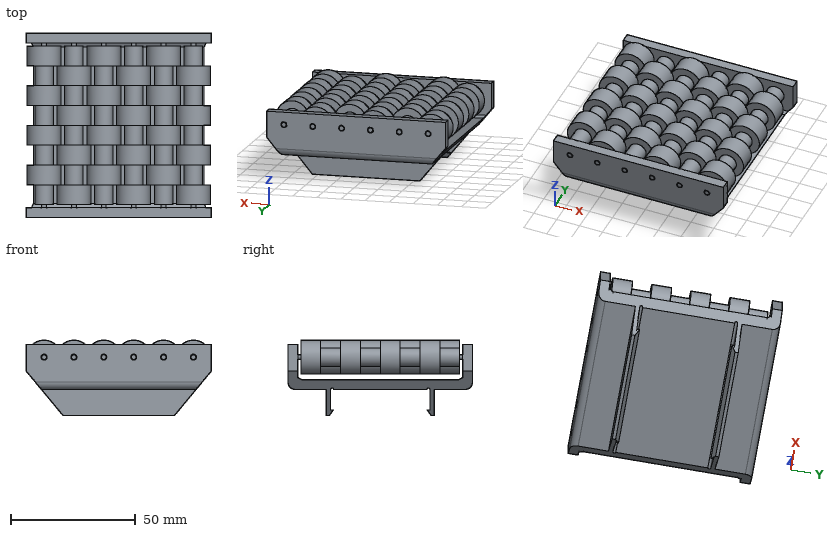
import cadquery as cq

TOTAL_HEIGHT = 30.3

LENGTH = 74.3
WIDTH = 74.0
WALL_TOP = 28.6
WALL_THICKNESS = 4.0
FLOOR_BOTTOM = 10.5
FLOOR_THICKNESS = 3.95
FLOOR_TOP = FLOOR_BOTTOM + FLOOR_THICKNESS
OUTER_BEND_RADIUS = 3.0
INNER_BEVEL_WIDTH = 1.6
INNER_BEVEL_HEIGHT = 0.9

SLOPE_TOP = 17.9
BASE_LENGTH = 44.6

LEG_OUTER_Y = 21.7
LEG_THICKNESS = 1.8
LEG_INNER_Y = LEG_OUTER_Y - LEG_THICKNESS
HOOK_TOP = 2.4
HOOK_REACH = 1.1
HOOK_TIP_WIDTH = 1.35
RELIEF_RADIUS = 0.6

ROLLER_COUNT = 6
AXIS_SPAN = 59.9
ROLLER_PITCH = AXIS_SPAN / (ROLLER_COUNT - 1)
DISC_RADIUS = 6.8
HUB_RADIUS = 3.7
SHAFT_RADIUS = 1.0
SHAFT_HOLE_RADIUS = 1.2
BANDS_PER_ROLLER = 8
BAND_WIDTH = 7.95
ROLLER_LENGTH = BANDS_PER_ROLLER * BAND_WIDTH
AXIS_Z = TOTAL_HEIGHT - DISC_RADIUS

roller_positions = [i * ROLLER_PITCH - AXIS_SPAN / 2 for i in range(ROLLER_COUNT)]


def cylinder_along_y(radius, start_y, length, x):
    """Cylinder at roller height that runs from start_y toward +Y."""
    axis_start = cq.Vector(x, start_y, AXIS_Z)
    return cq.Workplane(cq.Solid.makeCylinder(radius, length, axis_start, cq.Vector(0, 1, 0)))


def make_channel():
    """U-shaped channel, rounded outside and bevelled inside, open at the top."""
    outer = (
        cq.Workplane("XY", origin=(0, 0, FLOOR_BOTTOM))
        .box(LENGTH, WIDTH, WALL_TOP - FLOOR_BOTTOM, centered=(True, True, False))
        .edges("|X and <Z")
        .fillet(OUTER_BEND_RADIUS)
    )
    inner_wall_y = WIDTH / 2 - WALL_THICKNESS
    cavity = (
        cq.Workplane("YZ")
        .moveTo(-inner_wall_y, WALL_TOP)
        .lineTo(-inner_wall_y, FLOOR_TOP + INNER_BEVEL_HEIGHT)
        .lineTo(-inner_wall_y + INNER_BEVEL_WIDTH, FLOOR_TOP)
        .lineTo(inner_wall_y - INNER_BEVEL_WIDTH, FLOOR_TOP)
        .lineTo(inner_wall_y, FLOOR_TOP + INNER_BEVEL_HEIGHT)
        .lineTo(inner_wall_y, WALL_TOP)
        .close()
        .extrude(LENGTH / 2, both=True)
    )
    return outer.cut(cavity)


def make_snap_leg():
    """Leg on the +Y side with an inward hook at its lower end, rooted inside the floor."""
    root_z = FLOOR_BOTTOM + FLOOR_THICKNESS / 2
    return (
        cq.Workplane("YZ")
        .moveTo(LEG_OUTER_Y, root_z)
        .lineTo(LEG_OUTER_Y, 0)
        .lineTo(LEG_OUTER_Y - HOOK_TIP_WIDTH, 0)
        .lineTo(LEG_INNER_Y - HOOK_REACH, HOOK_TOP)
        .lineTo(LEG_INNER_Y, HOOK_TOP)
        .lineTo(LEG_INNER_Y, root_z)
        .close()
        .extrude(LENGTH / 2, both=True)
    )


def make_relief_groove():
    """Half-round groove in the floor along the inner root of the +Y leg."""
    return (
        cq.Workplane("YZ")
        .center(LEG_INNER_Y - RELIEF_RADIUS, FLOOR_BOTTOM)
        .circle(RELIEF_RADIUS)
        .extrude(LENGTH / 2, both=True)
    )


def make_end_outline():
    """Side outline with sloping lower ends, as a solid across the full width."""
    return (
        cq.Workplane("XZ")
        .moveTo(-BASE_LENGTH / 2, 0)
        .lineTo(BASE_LENGTH / 2, 0)
        .lineTo(LENGTH / 2, SLOPE_TOP)
        .lineTo(LENGTH / 2, WALL_TOP)
        .lineTo(-LENGTH / 2, WALL_TOP)
        .lineTo(-LENGTH / 2, SLOPE_TOP)
        .close()
        .extrude(WIDTH / 2, both=True)
    )


def make_housing():
    """Channel with its two snap legs, sloping ends and shaft holes."""
    leg = make_snap_leg()
    groove = make_relief_groove()
    housing = make_channel().union(leg).union(leg.mirror("XZ"))
    housing = housing.cut(groove).cut(groove.mirror("XZ"))
    housing = housing.intersect(make_end_outline())
    for x in roller_positions:
        housing = housing.cut(cylinder_along_y(SHAFT_HOLE_RADIUS, -WIDTH / 2, WIDTH, x))
    return housing


def make_roller(x, first_disc_band):
    """Shaft and hub with a disc on every second band, counted from the -Y end."""
    roller = cylinder_along_y(SHAFT_RADIUS, -WIDTH / 2, WIDTH, x)
    roller = roller.union(cylinder_along_y(HUB_RADIUS, -ROLLER_LENGTH / 2, ROLLER_LENGTH, x))
    for band in range(first_disc_band, BANDS_PER_ROLLER, 2):
        disc_start = -ROLLER_LENGTH / 2 + band * BAND_WIDTH
        roller = roller.union(cylinder_along_y(DISC_RADIUS, disc_start, BAND_WIDTH, x))
    return roller


housing = make_housing()

rollers = [make_roller(x, (i + 1) % 2) for i, x in enumerate(roller_positions)]

result = cq.Compound.makeCompound([housing.val(), *[roller.val() for roller in rollers]])